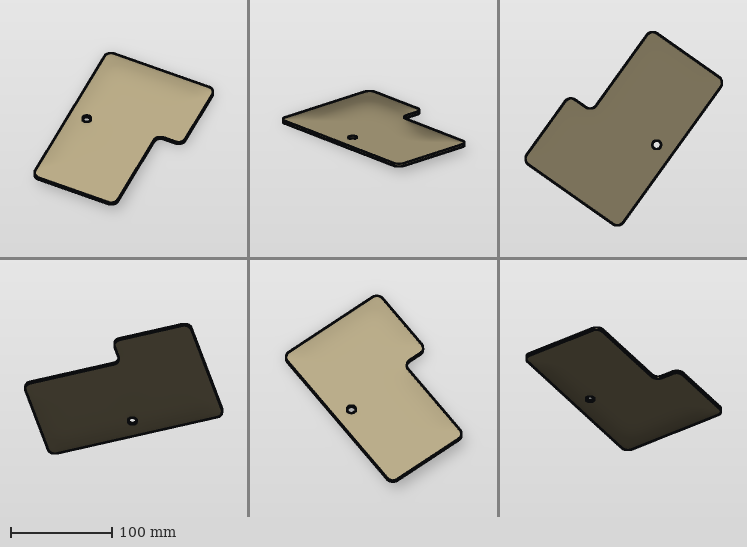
import cadquery as cq
import math

width = 117.0
depth = 180.0
height = 9.7

thickness = 3.0
tilt = math.atan2(height - thickness, depth)
plate_length = (depth - thickness * math.sin(tilt)) / math.cos(tilt)

narrow_width = 89.6
narrow_length = 100.6
corner_radius = 7.2

opening_diameter = 8.6
opening_from_left = 18.0
opening_y = 0.7


def flat_plate():
    """L-shaped plate with all corners rounded, centred on the origin."""
    left = -width / 2
    right = width / 2
    front = -plate_length / 2
    rear = plate_length / 2
    step_x = left + narrow_width
    step_y = front + narrow_length
    outline = [
        (left, front),
        (step_x, front),
        (step_x, step_y),
        (right, step_y),
        (right, rear),
        (left, rear),
    ]
    plate = cq.Workplane("XY").polyline(outline).close().extrude(thickness / 2, both=True)
    return plate.edges("|Z").fillet(corner_radius)


def round_opening():
    """Cylinder through the plate, square to its faces."""
    return (
        cq.Workplane("XY")
        .center(opening_from_left - width / 2, opening_y)
        .circle(opening_diameter / 2)
        .extrude(thickness, both=True)
    )


result = flat_plate().cut(round_opening()).rotate((0, 0, 0), (1, 0, 0), -math.degrees(tilt))